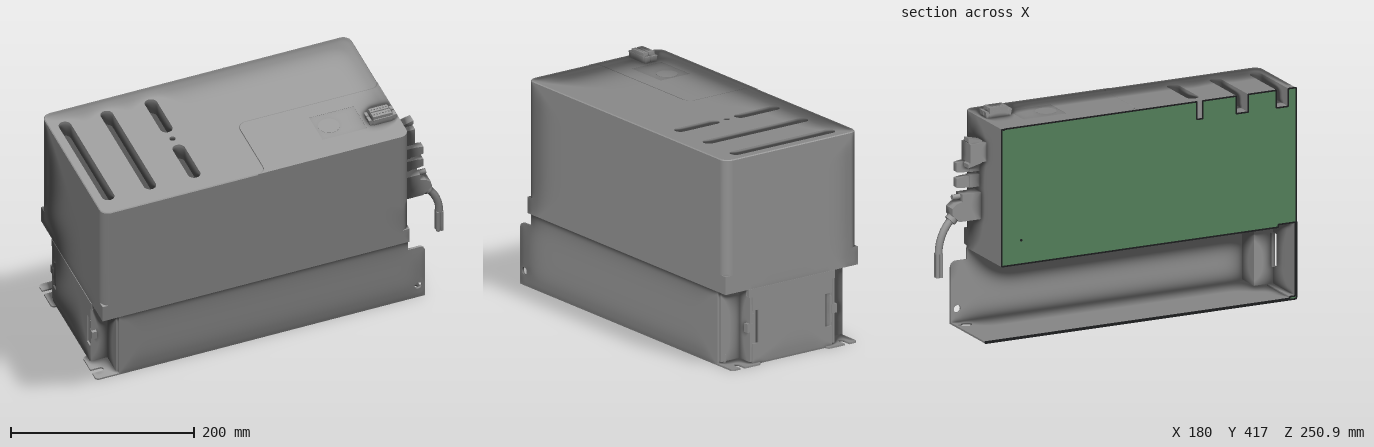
import cadquery as cq
import math

COVER_WIDTH = 180.0
FRONT_Y = 5.5
BOX_FRONT_Y = 4.9
BACK_Y = 365.0
COVER_BOTTOM_Z = 87.0
FRONT_RIM_TOP_Z = 107.5
BACK_RIM_TOP_Z = 105.5
COVER_TOP_Z = 240.0
TOP_PLATE_THICKNESS = 1.2
COVER_CORNER_R = 10.0
LID_CHAMFER = 1.0

LID_SPLIT_X = 3.5
LID_SPLIT_Y = 197.5
VENT_END_X = 70.0
VENT_INNER_X = 11.5
VENT_WIDTH = 14.0
VENT_DEPTH = 20.0
SPLIT_VENT_Y = 123.3
FULL_VENT_YS = (71.5, 22.6)
LID_HOLE_D = 7.0
LABEL_CENTRE = (42.75, 300.0)
LABEL_SIZE = (39.5, 52.0)
LABEL_DEPTH = 0.3
BUTTON_CENTRE = (43.0, 289.2)
BUTTON_D = 23.5

CHASSIS_HALF_WIDTH = 85.0
CHASSIS_BACK_Y = 385.0
SHEET = 2.0
SIDE_THICKNESS = 2.5
SIDE_FRONT_Y = 27.0
SIDE_TOP_Z = 84.0
DECK_HALF_WIDTH = 84.5
EAR_TOP_Z = 71.0
EAR_CORNER_R = 7.0
EAR_HOLE_D = 8.5
EAR_HOLE = (377.0, 16.5)
LATCH_TAB_YS = (130.0, 74.0)
LATCH_TAB_SIZE = (0.5, 5.0, 2.0)

FOOT_INNER_X = 45.0
FOOT_CORNER_R = 4.0
FOOT_SLOT_X = 71.0
FOOT_SLOT_WIDTH = 6.0
FOOT_SLOT_END_Y = 11.0
KEYHOLE = (70.0, 372.0)
KEYHOLE_D = 12.0
KEYHOLE_NECK = 6.0
KEYHOLE_TOP_Y = 382.5

BOX_HALF_WIDTH = 57.5
BOX_SIDE_THICKNESS = 2.0
PANEL_HALF_WIDTH = 54.0
BOX_BOTTOM_Z = 4.0
FLANGE_BACK_Y = 14.0
WEB_FRONT_Y = 24.0
WEB_BACK_Y = 30.0
WEB_TAB_X = -77.5
WEB_TAB_WIDTH = 3.3
WEB_TAB_DEPTH = 0.5
WEB_TAB_TOP_Z = 12.0
WINDOW_INNER_X = 45.6
WINDOW_Z = (24.0, 62.0)
CLIP_STRIP_INNER_X = 48.5
CLIP_RIB_INNER_X = 51.3
CLIP_RIB_Z = (28.0, 58.0)
CLIP_OUTER_X = 61.0
CLIP_Z = (38.0, 48.0)
CLIP_BACK_Y = 10.5
SHOULDER_HALF_WIDTH = 58.5
SHOULDER_Z = 77.5
SHOULDER_POCKET_DEPTH = 0.5
SHOULDER_POCKET_Y = (6.3, 9.8)
SHOULDER_POCKET_Z = (79.0, 83.3)

HEADER_X = (44.5, 61.0)
HEADER_Y = (334.5, 356.3)
HEADER_SHOULDER_Z = 247.2
HEADER_TOP_Z = 250.92
HEADER_RIDGES_X = ((45.0, 51.0), (52.5, 60.0))
HEADER_LATCH_REACH = 5.2
HEADER_LATCH_Z = 247.3
HEADER_LATCH_THICKNESS = 3.0
PIN_HOLE_COUNT = 6
PIN_HOLE_SIZE = 1.6
PIN_HOLE_PITCH = 3.4
PIN_HOLE_DEPTH = 3.0

PLUG_X = (35.8, 57.2)
PLUG_Z = (194.4, 215.7)
PLUG_BACK_Y = 384.5
PLUG_LATCH_X = (39.4, 50.0)
PLUG_LATCH_Y = (368.5, 385.5)
PLUG_LATCH_RISE = (2.0, 6.3)
PLUG_LATCH_NOSE = 2.0

CABLE_X = 57.0
JACK_BASE_WIDTH = 9.0
JACK_TIP_WIDTH = 8.0
JACK_CENTRES_Z = (186.3, 168.7)
JACK_BASE_HEIGHT = 13.8
JACK_TIP_HEIGHTS = (12.6, 10.0)
JACK_STEP_Y = 377.6
JACK_TIP_Y = (384.0, 392.7)

SHELL_WIDTH = 15.7
SHELL_TOP_Z = 156.0
SHELL_BOTTOM_Z = 125.5
SHELL_STEP_Y = 387.6
SHELL_STEP_Z = 148.0
SHELL_SHOULDER = (394.4, 146.0)
SHELL_NOSE_Y = 400.0
SHELL_NOSE_Z = (134.0, 141.7)
SHELL_HEEL_Y = 391.0
SCREW_D = 6.0
SCREW_TIP_Y = 396.5
SCREW_EDGE_GAP = 0.7
CABLE_D = 8.5
OVERALL_LENGTH = 417.0
CABLE_Y = OVERALL_LENGTH - CABLE_D / 2
CABLE_BOTTOM_Z = 63.7
CABLE_BEND_Z = 90.8
CORE_D = 4.4
CABLE_BEND_R = 52.0
CABLE_BEND_ANGLE = 45.0
COLLAR_D = 13.5
COLLAR_LENGTH = 4.0
COLLAR_EMBED = 4.0


def block(x, y, z):
    """Axis-aligned box from three (low, high) pairs."""
    size = (x[1] - x[0], y[1] - y[0], z[1] - z[0])
    return cq.Workplane("XY").box(*size, centered=False).translate((x[0], y[0], z[0]))


def disc(x, y, diameter, z, height):
    """Upright cylinder standing on height z."""
    return cq.Workplane("XY", origin=(x, y, z)).circle(diameter / 2).extrude(height)


def mirrored(solid):
    """A solid together with its mirror image across the plane X = 0."""
    return solid.union(solid.mirror("YZ"))


def profile_along_x(points, x):
    """Polygon of (y, z) points extruded from x[0] to x[1]."""
    return cq.Workplane("YZ", origin=(x[0], 0, 0)).polyline(points).close().extrude(x[1] - x[0])


def make_lid(z):
    """L-shaped lid that leaves the control panel corner free."""
    right = COVER_WIDTH / 2
    outline = [
        (-right, FRONT_Y),
        (right, FRONT_Y),
        (right, LID_SPLIT_Y),
        (LID_SPLIT_X, LID_SPLIT_Y),
        (LID_SPLIT_X, BACK_Y),
        (-right, BACK_Y),
    ]
    lid = cq.Workplane("XY", origin=(0, 0, z)).polyline(outline).close().extrude(TOP_PLATE_THICKNESS)
    return lid.edges("|Z").fillet(COVER_CORNER_R)


def make_cover():
    """Solid cover with a square-cornered rim, rounded upper body and chamfered lid."""
    across = (-COVER_WIDTH / 2, COVER_WIDTH / 2)
    plate_z = COVER_TOP_Z - TOP_PLATE_THICKNESS
    middle_y = (FRONT_Y + BACK_Y) / 2
    rim = block(across, (FRONT_Y, BACK_Y), (COVER_BOTTOM_Z, BACK_RIM_TOP_Z))
    front_rim = block(across, (FRONT_Y, middle_y), (BACK_RIM_TOP_Z, FRONT_RIM_TOP_Z))
    rim = rim.union(front_rim)
    upper = block(across, (FRONT_Y, BACK_Y), (BACK_RIM_TOP_Z, COVER_TOP_Z)).edges("|Z").fillet(COVER_CORNER_R)
    lid = make_lid(plate_z)
    return rim.union(upper.cut(lid)).union(lid.faces(">Z").chamfer(LID_CHAMFER))


def vent(x_start, x_end, y):
    """Cutter for a round-ended blind slot in the lid."""
    return (
        cq.Workplane("XY", origin=((x_start + x_end) / 2, y, COVER_TOP_Z - VENT_DEPTH))
        .slot2D(x_end - x_start, VENT_WIDTH)
        .extrude(VENT_DEPTH)
    )


def cut_cover_top(cover):
    """Cut the vents, the lid hole and the outlined label into the top."""
    cover = cover.cut(mirrored(vent(VENT_INNER_X, VENT_END_X, SPLIT_VENT_Y)))
    for y in FULL_VENT_YS:
        cover = cover.cut(vent(-VENT_END_X, VENT_END_X, y))
    floor_z = COVER_TOP_Z - VENT_DEPTH
    hole = disc(0, SPLIT_VENT_Y, LID_HOLE_D, floor_z, VENT_DEPTH)
    label_z = COVER_TOP_Z - LABEL_DEPTH
    label = cq.Workplane("XY", origin=(*LABEL_CENTRE, label_z)).rect(*LABEL_SIZE).extrude(LABEL_DEPTH)
    button = disc(*BUTTON_CENTRE, BUTTON_D, label_z, LABEL_DEPTH)
    return cover.cut(hole).cut(label.cut(button))


def make_base_plate():
    """Bottom sheet with two slotted front feet and two keyholes at the back."""
    across = (-CHASSIS_HALF_WIDTH, CHASSIS_HALF_WIDTH)
    plate = block(across, (0, CHASSIS_BACK_Y), (0, SHEET))
    plate = plate.cut(block((-FOOT_INNER_X, FOOT_INNER_X), (0, FRONT_Y), (0, SHEET)))
    plate = plate.edges("|Z and <Y").fillet(FOOT_CORNER_R)

    slot_x = (FOOT_SLOT_X - FOOT_SLOT_WIDTH / 2, FOOT_SLOT_X + FOOT_SLOT_WIDTH / 2)
    slot = block(slot_x, (0, FOOT_SLOT_END_Y), (0, SHEET))
    slot_end = disc(FOOT_SLOT_X, FOOT_SLOT_END_Y, FOOT_SLOT_WIDTH, 0, SHEET)
    keyhole = disc(*KEYHOLE, KEYHOLE_D, 0, SHEET)
    neck_end_y = KEYHOLE_TOP_Y - KEYHOLE_NECK / 2
    neck_x = (KEYHOLE[0] - KEYHOLE_NECK / 2, KEYHOLE[0] + KEYHOLE_NECK / 2)
    neck = block(neck_x, (KEYHOLE[1], neck_end_y), (0, SHEET))
    neck_end = disc(KEYHOLE[0], neck_end_y, KEYHOLE_NECK, 0, SHEET)
    openings = slot.union(slot_end).union(keyhole).union(neck).union(neck_end)
    return plate.cut(mirrored(openings))


def make_side_plate():
    """Side sheet on +X, lower at the back where it forms a mounting ear."""
    x = (CHASSIS_HALF_WIDTH - SIDE_THICKNESS, CHASSIS_HALF_WIDTH)
    side = block(x, (SIDE_FRONT_Y, BACK_Y), (0, SIDE_TOP_Z))
    ear = block(x, (BACK_Y - EAR_CORNER_R, CHASSIS_BACK_Y), (0, EAR_TOP_Z))
    ear = ear.edges("|X and >Y and >Z").fillet(EAR_CORNER_R)
    hole = cq.Workplane("YZ", origin=(x[0], *EAR_HOLE)).circle(EAR_HOLE_D / 2).extrude(SIDE_THICKNESS)
    return side.union(ear).cut(hole)


def make_deck():
    """Plate closing the chassis under the cover, with small tabs on its sides."""
    deck_z = (SIDE_TOP_Z, COVER_BOTTOM_Z)
    deck = block((-DECK_HALF_WIDTH, DECK_HALF_WIDTH), (SIDE_FRONT_Y, BACK_Y), deck_z)
    tabs = cq.Workplane("XY")
    middle_z = (SIDE_TOP_Z + COVER_BOTTOM_Z) / 2
    for y in LATCH_TAB_YS:
        centre = (DECK_HALF_WIDTH + LATCH_TAB_SIZE[0] / 2, y, middle_z)
        tabs = tabs.union(cq.Workplane("XY").box(*LATCH_TAB_SIZE).translate(centre))
    return deck.union(mirrored(tabs))


def make_heat_box():
    """Projecting front box: panel, returned sides, corner webs and side clips."""
    panel_across = (-PANEL_HALF_WIDTH, PANEL_HALF_WIDTH)
    panel = block(panel_across, (BOX_FRONT_Y, BOX_FRONT_Y + SHEET), (SHEET, COVER_BOTTOM_Z))
    lower_flange = block(panel_across, (BOX_FRONT_Y, FLANGE_BACK_Y), (SHEET, BOX_BOTTOM_Z))
    window = block((WINDOW_INNER_X, PANEL_HALF_WIDTH), (BOX_FRONT_Y, BOX_FRONT_Y + SHEET), WINDOW_Z)
    front = panel.union(lower_flange).cut(mirrored(window))

    upright = (BOX_BOTTOM_Z, COVER_BOTTOM_Z)
    wall_inner_x = BOX_HALF_WIDTH - BOX_SIDE_THICKNESS
    wall = block((wall_inner_x, BOX_HALF_WIDTH), (BOX_FRONT_Y, WEB_BACK_Y), upright)
    seam = block((PANEL_HALF_WIDTH, wall_inner_x), (BOX_FRONT_Y + SHEET / 2, WEB_BACK_Y), upright)
    web_x = (wall_inner_x, CHASSIS_HALF_WIDTH - SIDE_THICKNESS)
    web = block(web_x, (WEB_FRONT_Y, WEB_BACK_Y), upright)
    strip = block((CLIP_STRIP_INNER_X, BOX_HALF_WIDTH), (BOX_FRONT_Y + SHEET, CLIP_BACK_Y), WINDOW_Z)
    rib = block((CLIP_RIB_INNER_X, PANEL_HALF_WIDTH), (BOX_FRONT_Y + SHEET / 2, CLIP_BACK_Y), CLIP_RIB_Z)
    clip = block((PANEL_HALF_WIDTH, CLIP_OUTER_X), (BOX_FRONT_Y, CLIP_BACK_Y), CLIP_Z)
    shoulder_x = (PANEL_HALF_WIDTH, SHOULDER_HALF_WIDTH)
    shoulder = block(shoulder_x, (BOX_FRONT_Y, CLIP_BACK_Y), (SHOULDER_Z, COVER_BOTTOM_Z))
    pocket_x = (SHOULDER_HALF_WIDTH - SHOULDER_POCKET_DEPTH, SHOULDER_HALF_WIDTH)
    shoulder = shoulder.cut(block(pocket_x, SHOULDER_POCKET_Y, SHOULDER_POCKET_Z))
    flank = wall.union(seam).union(web).union(strip).union(rib).union(clip).union(shoulder)

    tab_x = (WEB_TAB_X - WEB_TAB_WIDTH / 2, WEB_TAB_X + WEB_TAB_WIDTH / 2)
    web_tab = block(tab_x, (WEB_FRONT_Y - WEB_TAB_DEPTH, WEB_FRONT_Y), (SHEET, WEB_TAB_TOP_Z))
    return front.union(mirrored(flank)).union(web_tab)


def make_header():
    """Terminal header on the control panel with two ridges, end latches and pin holes."""
    header = block(HEADER_X, HEADER_Y, (COVER_TOP_Z, HEADER_SHOULDER_Z))
    for x in HEADER_RIDGES_X:
        header = header.union(block(x, HEADER_Y, (HEADER_SHOULDER_Z, HEADER_TOP_Z)))
        for end_y, direction in ((HEADER_Y[0], -1), (HEADER_Y[1], 1)):
            tip_y = end_y + direction * HEADER_LATCH_REACH
            root_y = tip_y - direction * HEADER_LATCH_THICKNESS / 2
            latch = [
                (end_y, COVER_TOP_Z),
                (root_y, COVER_TOP_Z),
                (tip_y, HEADER_LATCH_Z),
                (tip_y - direction * HEADER_LATCH_THICKNESS, HEADER_LATCH_Z),
                (end_y, HEADER_LATCH_Z - HEADER_LATCH_THICKNESS),
            ]
            header = header.union(profile_along_x(latch, x))
    pin_holes = cq.Workplane("XY", origin=(0, sum(HEADER_Y) / 2, HEADER_TOP_Z - PIN_HOLE_DEPTH))
    first_y = -(PIN_HOLE_COUNT - 1) / 2 * PIN_HOLE_PITCH
    hole_ys = [first_y + i * PIN_HOLE_PITCH for i in range(PIN_HOLE_COUNT)]
    ridge_centres = [(sum(x) / 2, y) for x in HEADER_RIDGES_X for y in hole_ys]
    pin_holes = pin_holes.pushPoints(ridge_centres).rect(PIN_HOLE_SIZE, PIN_HOLE_SIZE).extrude(PIN_HOLE_DEPTH)
    return header.cut(pin_holes)


def make_latched_plug():
    """Rectangular plug with a sloping latch above and below."""
    plug = block(PLUG_X, (BACK_Y, PLUG_BACK_Y), PLUG_Z)
    for face_z, direction in ((PLUG_Z[0], -1), (PLUG_Z[1], 1)):
        latch = [
            (PLUG_LATCH_Y[0], face_z),
            (PLUG_LATCH_Y[1] - PLUG_LATCH_NOSE, face_z),
            (PLUG_LATCH_Y[1], face_z + direction * PLUG_LATCH_RISE[0]),
            (PLUG_LATCH_Y[1], face_z + direction * PLUG_LATCH_RISE[1]),
            (PLUG_LATCH_Y[0], face_z + direction * PLUG_LATCH_RISE[0]),
        ]
        plug = plug.union(profile_along_x(latch, PLUG_LATCH_X))
    return plug


def make_jack(z):
    """Small cable plug that steps down and tapers to its tip."""
    base_half = JACK_BASE_HEIGHT / 2
    step_half = JACK_TIP_HEIGHTS[0] / 2
    tip_half = JACK_TIP_HEIGHTS[1] / 2
    base = block(
        (CABLE_X - JACK_BASE_WIDTH / 2, CABLE_X + JACK_BASE_WIDTH / 2),
        (BACK_Y, JACK_STEP_Y),
        (z - base_half, z + base_half),
    )
    outline = [
        (JACK_STEP_Y, z - step_half),
        (JACK_TIP_Y[0], z - step_half),
        (JACK_TIP_Y[1], z - tip_half),
        (JACK_TIP_Y[1], z + tip_half),
        (JACK_TIP_Y[0], z + step_half),
        (JACK_STEP_Y, z + step_half),
    ]
    tip = profile_along_x(outline, (CABLE_X - JACK_TIP_WIDTH / 2, CABLE_X + JACK_TIP_WIDTH / 2))
    return base.union(tip)


def make_cores():
    """Four touching cores in a square, filled in the middle."""
    spacing = CABLE_D - CORE_D
    length = CABLE_BEND_Z - CABLE_BOTTOM_Z
    bottom_end = cq.Workplane("XY", origin=(CABLE_X, CABLE_Y, CABLE_BOTTOM_Z))
    cores = bottom_end.rect(spacing, spacing).extrude(length)
    for x in (-spacing / 2, spacing / 2):
        for y in (-spacing / 2, spacing / 2):
            cores = cores.union(disc(CABLE_X + x, CABLE_Y + y, CORE_D, CABLE_BOTTOM_Z, length))
    return cores


def make_cable_connector():
    """Angled connector shell with thumb screw, collar, bent sheath and bare cores."""
    outline = [
        (BACK_Y, SHELL_TOP_Z),
        (SHELL_STEP_Y, SHELL_TOP_Z),
        (SHELL_STEP_Y, SHELL_STEP_Z),
        SHELL_SHOULDER,
        (SHELL_NOSE_Y, SHELL_NOSE_Z[1]),
        (SHELL_NOSE_Y, SHELL_NOSE_Z[0]),
        (SHELL_HEEL_Y, SHELL_BOTTOM_Z),
        (BACK_Y, SHELL_BOTTOM_Z),
    ]
    shell = profile_along_x(outline, (CABLE_X - SHELL_WIDTH / 2, CABLE_X + SHELL_WIDTH / 2))
    screw_z = SHELL_TOP_Z - SCREW_EDGE_GAP - SCREW_D / 2
    screw = (
        cq.Workplane("XZ", origin=(CABLE_X, SCREW_TIP_Y, screw_z))
        .circle(SCREW_D / 2)
        .extrude(SCREW_TIP_Y - SHELL_STEP_Y)
    )

    def bend_point(degrees):
        angle = math.radians(degrees)
        y = CABLE_Y - CABLE_BEND_R * (1 - math.cos(angle))
        return (y, CABLE_BEND_Z + CABLE_BEND_R * math.sin(angle))

    path = (
        cq.Workplane("YZ", origin=(CABLE_X, 0, 0))
        .moveTo(CABLE_Y, CABLE_BEND_Z)
        .threePointArc(bend_point(CABLE_BEND_ANGLE / 2), bend_point(CABLE_BEND_ANGLE))
    )
    sheath = cq.Workplane("XY", origin=(CABLE_X, CABLE_Y, CABLE_BEND_Z)).circle(CABLE_D / 2).sweep(path)

    collar_y, collar_z = bend_point(CABLE_BEND_ANGLE)
    slope = math.radians(CABLE_BEND_ANGLE)
    into_shell = (0, -math.sin(slope), math.cos(slope))
    collar_plane = cq.Plane(origin=(CABLE_X, collar_y, collar_z), xDir=(1, 0, 0), normal=into_shell)
    collar = (
        cq.Workplane(collar_plane)
        .workplane(offset=-COLLAR_LENGTH / 2)
        .circle(COLLAR_D / 2)
        .extrude(COLLAR_LENGTH + COLLAR_EMBED)
    )
    return shell.union(screw).union(collar).union(sheath).union(make_cores())


result = cut_cover_top(make_cover())
result = result.union(make_deck())
result = result.union(mirrored(make_side_plate()))
result = result.union(make_base_plate())
result = result.union(make_heat_box())
result = result.union(make_header())
result = result.union(make_latched_plug())
for jack_z in JACK_CENTRES_Z:
    result = result.union(make_jack(jack_z))
result = result.union(make_cable_connector())